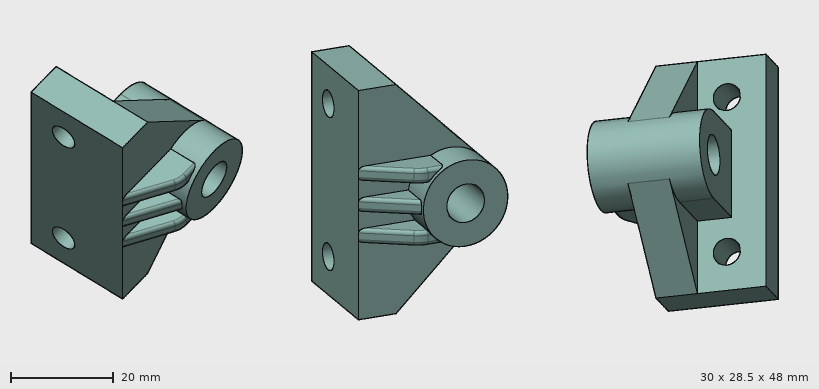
import cadquery as cq

PLATE_WIDTH = 22.5
PLATE_THICKNESS = 8.0
PLATE_HEIGHT = 48.0
SCREW_HOLE_DIAMETER = 5.5
SCREW_HOLE_X = 8.0
SCREW_HOLE_SPACING = 32.0

PART_DEPTH = 28.5
BOSS_DIAMETER = 18.0
BOSS_RADIUS = BOSS_DIAMETER / 2
BOSS_AXIS_Y = PART_DEPTH - BOSS_RADIUS
BOSS_START_X = 7.0
BOSS_END_X = 30.0
BORE_DIAMETER = 8.0

WEB_THICKNESS = 8.5
WEB_START_X = PLATE_WIDTH - WEB_THICKNESS

RIB_COUNT = 3
RIB_SPACING = 6.5
RIB_THICKNESS = 3.0
RIB_TIP_X = BOSS_END_X - 1.0
RIB_CORNER_Y = BOSS_AXIS_Y - BOSS_RADIUS
RIB_CORNER_RADIUS = 5.0
RIB_EDGE_FILLET = 0.8


def x_cylinder(diameter, start_x, end_x):
    """Cylinder on the boss axis between two X positions."""
    circle = cq.Workplane("YZ", origin=(start_x, BOSS_AXIS_Y, 0)).circle(diameter / 2)
    return circle.extrude(end_x - start_x)


def make_plate():
    plate = cq.Workplane("XY").box(
        PLATE_WIDTH, PLATE_THICKNESS, PLATE_HEIGHT, centered=(False, False, True)
    )
    holes = (
        cq.Workplane("XZ")
        .center(SCREW_HOLE_X, 0)
        .rarray(1, SCREW_HOLE_SPACING, 1, 2)
        .circle(SCREW_HOLE_DIAMETER / 2)
        .extrude(-PLATE_THICKNESS)
    )
    return plate.cut(holes)


def make_boss():
    """Full-length cylinder, with a straight-sided foot that stands on the plate."""
    foot = cq.Workplane("XY", origin=(BOSS_START_X, PLATE_THICKNESS, 0)).box(
        PLATE_WIDTH - BOSS_START_X,
        BOSS_AXIS_Y - PLATE_THICKNESS,
        BOSS_DIAMETER,
        centered=(False, False, True),
    )
    return x_cylinder(BOSS_DIAMETER, BOSS_START_X, BOSS_END_X).union(foot)


def make_web():
    """Isosceles trapezoid through the plate ends and the tangent points on the boss."""
    foot_y = PLATE_THICKNESS - BOSS_AXIS_Y
    foot_z = PLATE_HEIGHT / 2
    foot_distance_squared = foot_y**2 + foot_z**2
    tangent_length = (foot_distance_squared - BOSS_RADIUS**2) ** 0.5

    along = BOSS_RADIUS**2 / foot_distance_squared
    across = BOSS_RADIUS * tangent_length / foot_distance_squared
    tangent_y = BOSS_AXIS_Y + along * foot_y + across * foot_z
    tangent_z = along * foot_z - across * foot_y

    outline = [
        (PLATE_THICKNESS, -foot_z),
        (tangent_y, -tangent_z),
        (tangent_y, tangent_z),
        (PLATE_THICKNESS, foot_z),
    ]
    return cq.Workplane("YZ", origin=(WEB_START_X, 0, 0)).polyline(outline).close().extrude(WEB_THICKNESS)


def make_rib(center_z):
    """Gusset with rounded outer edges; away from the boss its corner is rounded too."""
    outline = [
        (PLATE_WIDTH, 0),
        (RIB_TIP_X, RIB_CORNER_Y),
        (RIB_TIP_X, BOSS_AXIS_Y),
        (PLATE_WIDTH, BOSS_AXIS_Y),
    ]
    start_z = center_z - RIB_THICKNESS / 2
    rib = cq.Workplane("XY", origin=(0, 0, start_z)).polyline(outline).close().extrude(RIB_THICKNESS)

    if center_z != 0:
        rib = rib.edges("|Z").edges(">X").edges("<Y").fillet(RIB_CORNER_RADIUS)

    side_edges = rib.faces("<Z or >Z").edges("not(<X or >Y)")
    return side_edges.fillet(RIB_EDGE_FILLET)


def make_part():
    part = make_plate().union(make_boss()).union(make_web())
    for index in range(RIB_COUNT):
        center_z = (index - (RIB_COUNT - 1) / 2) * RIB_SPACING
        part = part.union(make_rib(center_z))
    return part.cut(x_cylinder(BORE_DIAMETER, BOSS_START_X, BOSS_END_X))


result = make_part()